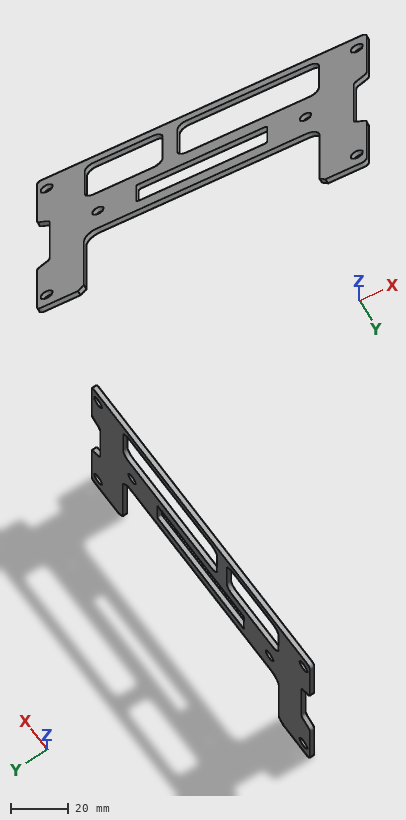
import cadquery as cq
import math

width = 130.1
height = 88.7
thickness = 2.0
half_width = width / 2
mid_height = height / 2
corner_radius = 2.0

notch_depth = 5.1
notch_mouth = 32.7
ramp_angle = 30.0
notch_floor = notch_mouth - 2 * notch_depth * math.tan(math.radians(ramp_angle))
notch_radius = corner_radius

leg_width = 18.6
leg_length = 37.6
crotch_radius = 5.2
leg_chamfer = 2.3

window_top = height - 4.3
window_height = 22.0
window_edge = half_width - 18.9
left_window_width = 30.7
window_gap = 5.9
window_radius = 3.6
right_window_width = 2 * window_edge - left_window_width - window_gap

slot_width = 51.5
slot_height = 11.5
slot_center_z = 49.5
slot_radius = 0.8

corner_hole_diameter = 4.7
corner_hole_side_inset = 3.9
corner_hole_end_inset = 7.4
middle_hole_diameter = 4.4
middle_hole_spacing = 81.8
middle_hole_z = 49.7


def through_block(size_x, size_z, center_x, center_z):
    """Block spanning the plate thickness."""
    return cq.Workplane("XY").box(size_x, thickness, size_z).translate((center_x, 0, center_z))


def rounded_block(size_x, size_z, center_x, center_z, radius):
    """Cutter for a window with four rounded corners."""
    return through_block(size_x, size_z, center_x, center_z).edges("|Y").fillet(radius)


def side_notch(side):
    """Trapezoidal cutter, widest at the plate edge; side is -1 or 1."""
    edge_x = side * half_width
    floor_x = side * (half_width - notch_depth)
    return (
        cq.Workplane("XZ", origin=(0, thickness / 2, 0))
        .moveTo(edge_x, mid_height - notch_mouth / 2)
        .lineTo(floor_x, mid_height - notch_floor / 2)
        .lineTo(floor_x, mid_height + notch_floor / 2)
        .lineTo(edge_x, mid_height + notch_mouth / 2)
        .close()
        .extrude(thickness)
    )


def through_holes(diameter, centers):
    """Round cutters at the given X, Z centres."""
    return (
        cq.Workplane("XZ", origin=(0, thickness / 2, 0))
        .pushPoints(centers)
        .circle(diameter / 2)
        .extrude(thickness)
    )


plate = rounded_block(width, height, 0, mid_height, corner_radius)
for side in (-1, 1):
    plate = plate.cut(side_notch(side))
notch_zone = cq.selectors.BoxSelector(
    (-width, -thickness, mid_height - notch_mouth),
    (width, thickness, mid_height + notch_mouth),
)
plate = plate.edges("|Y").edges(notch_zone).fillet(notch_radius)

leg_opening_width = width - 2 * leg_width
leg_opening = through_block(leg_opening_width, leg_length, 0, leg_length / 2)
leg_opening = leg_opening.edges("|Y and >Z").fillet(crotch_radius)
plate = plate.cut(leg_opening)
leg_end_zone = cq.selectors.BoxSelector(
    (-leg_opening_width / 2 - leg_chamfer, -thickness, -leg_chamfer),
    (leg_opening_width / 2 + leg_chamfer, thickness, leg_chamfer),
)
plate = plate.edges("|Y").edges(leg_end_zone).chamfer(leg_chamfer)

window_z = window_top - window_height / 2
left_window_x = -window_edge + left_window_width / 2
right_window_x = window_edge - right_window_width / 2
plate = plate.cut(rounded_block(left_window_width, window_height, left_window_x, window_z, window_radius))
plate = plate.cut(rounded_block(right_window_width, window_height, right_window_x, window_z, window_radius))
plate = plate.cut(rounded_block(slot_width, slot_height, 0, slot_center_z, slot_radius))

corner_hole_x = half_width - corner_hole_side_inset
corner_centers = [
    (x, z)
    for x in (-corner_hole_x, corner_hole_x)
    for z in (corner_hole_end_inset, height - corner_hole_end_inset)
]
middle_centers = [(side * middle_hole_spacing / 2, middle_hole_z) for side in (-1, 1)]
plate = plate.cut(through_holes(corner_hole_diameter, corner_centers))
plate = plate.cut(through_holes(middle_hole_diameter, middle_centers))

result = plate